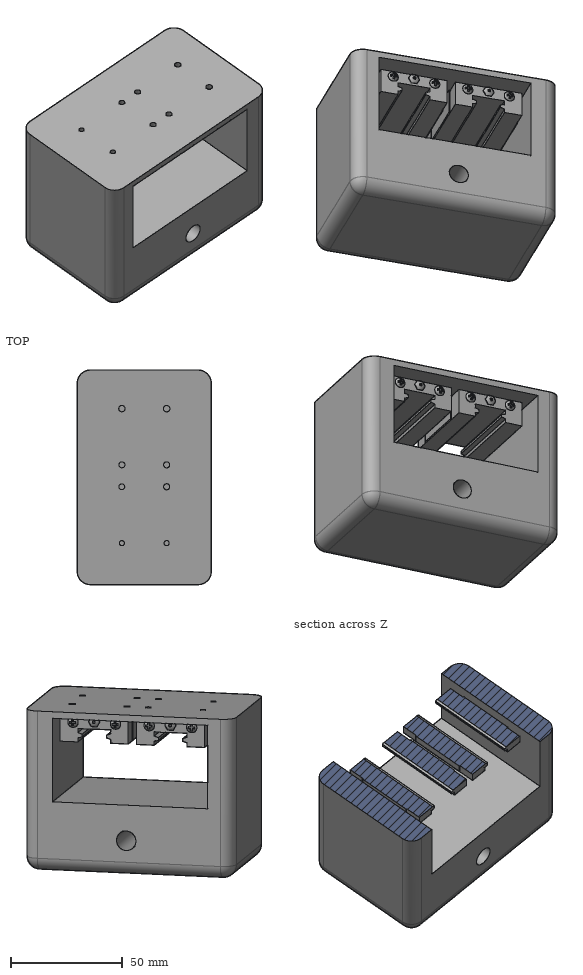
import cadquery as cq

LENGTH_X = 60.0
LENGTH_Y = 96.0
HEIGHT = 73.0
CORNER_RADIUS = 6.0

ROOF_THICKNESS = 3.0
WINDOW_HEIGHT = 38.0
WINDOW_Y_MIN = -36.2
WINDOW_Y_MAX = 35.0
ROOF_Z = HEIGHT - ROOF_THICKNESS

CABLE_HOLE_DIAMETER = 8.87
CABLE_HOLE_Y = 1.2
CABLE_HOLE_Z = 15.8

CARRIAGE_Y_POSITIONS = (18.0, -17.0)
CARRIAGE_LENGTH = 42.1
CARRIAGE_HEIGHT = 12.0
BLOCK_LENGTH = 26.7
BLOCK_WIDTH = 32.0
CAP_INSET = 0.4
BLOCK_CHAMFER = 0.4
CAP_WIDTH = BLOCK_WIDTH - 2 * CAP_INSET
CAP_TOP_GAP = 0.4
CARRIAGE_BOTTOM_Z = ROOF_Z - CARRIAGE_HEIGHT

CHANNEL_HALF_WIDTH = 7.5
CHANNEL_DEPTH = 6.1
RIDGE_REACH = 1.9
RIDGE_BASE_HEIGHT = 2.5
RIDGE_TIP_HEIGHT = 1.2
RIDGE_CENTER_HEIGHT = 3.0

SCREW_HEAD_DIAMETER = 4.75
SCREW_HEAD_HEIGHT = 1.4
SCREW_OFFSET_Y = 9.75
SCREW_Z = ROOF_Z - 3.1
RECESS_LENGTH = 2.8
RECESS_WIDTH = 0.8
RECESS_DEPTH = 0.8

NIPPLE_ACROSS_CORNERS = 5.2
NIPPLE_Z = ROOF_Z - 2.5
NIPPLE_HEIGHT = 1.1
NIPPLE_BORE_DIAMETER = 1.2
NIPPLE_BORE_DEPTH = 0.8

ROOF_HOLE_X = 10.0
ROOF_HOLE_ROWS = (
    (30.7, 2.83, 2.88),
    (5.6, 2.67, 2.72),
    (-4.2, 2.58, 2.72),
    (-29.4, 2.26, 2.29),
)


def make_housing():
    body = cq.Workplane("XY").box(LENGTH_X, LENGTH_Y, HEIGHT, centered=(True, True, False))
    body = body.edges("|Z").fillet(CORNER_RADIUS).faces("<Z").edges().fillet(CORNER_RADIUS)
    window = cq.Workplane("XY").box(LENGTH_X, WINDOW_Y_MAX - WINDOW_Y_MIN, WINDOW_HEIGHT)
    window = window.translate((0, (WINDOW_Y_MAX + WINDOW_Y_MIN) / 2, ROOF_Z - WINDOW_HEIGHT / 2))
    cable_hole = (
        cq.Workplane("YZ")
        .center(CABLE_HOLE_Y, CABLE_HOLE_Z)
        .circle(CABLE_HOLE_DIAMETER / 2)
        .extrude(LENGTH_X / 2, both=True)
    )
    return body.cut(window).cut(cable_hole)


def make_channel():
    """Solid to remove for the rail channel along the whole carriage."""
    ridge_y = CHANNEL_HALF_WIDTH - RIDGE_REACH
    ridge_z = CARRIAGE_BOTTOM_Z + RIDGE_CENTER_HEIGHT
    half_profile = [
        (CHANNEL_HALF_WIDTH, CARRIAGE_BOTTOM_Z),
        (CHANNEL_HALF_WIDTH, ridge_z - RIDGE_BASE_HEIGHT / 2),
        (ridge_y, ridge_z - RIDGE_TIP_HEIGHT / 2),
        (ridge_y, ridge_z + RIDGE_TIP_HEIGHT / 2),
        (CHANNEL_HALF_WIDTH, ridge_z + RIDGE_BASE_HEIGHT / 2),
        (CHANNEL_HALF_WIDTH, CARRIAGE_BOTTOM_Z + CHANNEL_DEPTH),
    ]
    mirrored = [(-y, z) for y, z in reversed(half_profile)]
    profile = cq.Workplane("YZ").polyline(half_profile + mirrored).close()
    return profile.extrude(CARRIAGE_LENGTH / 2, both=True)


def end_plane(y, z):
    """Plane on the -X end cap, facing outward, with its local y pointing up."""
    return cq.Plane(origin=(-CARRIAGE_LENGTH / 2, y, z), xDir=(0, -1, 0), normal=(-1, 0, 0))


def make_dome(plane, diameter, height):
    """Spherical cap standing on a plane, with the given base diameter."""
    radius = diameter / 2
    sphere_radius = (radius**2 + height**2) / (2 * height)
    sphere = cq.Workplane(plane).workplane(offset=height - sphere_radius).sphere(sphere_radius)
    return cq.Workplane(plane).circle(radius).extrude(height).intersect(sphere)


def make_screw_head(y):
    """Domed head on the end cap with a cross recess."""
    plane = end_plane(y, SCREW_Z)
    recess_plane = cq.Workplane(plane).workplane(offset=SCREW_HEAD_HEIGHT - RECESS_DEPTH)
    slot = recess_plane.rect(RECESS_LENGTH, RECESS_WIDTH).extrude(RECESS_DEPTH)
    cross_slot = recess_plane.rect(RECESS_WIDTH, RECESS_LENGTH).extrude(RECESS_DEPTH)
    return make_dome(plane, SCREW_HEAD_DIAMETER, SCREW_HEAD_HEIGHT).cut(slot).cut(cross_slot)


def make_nipple():
    """Hexagon with a domed end that meets the end cap at its corners."""
    plane = end_plane(0, NIPPLE_Z)
    hexagon = cq.Workplane(plane).polygon(6, NIPPLE_ACROSS_CORNERS).extrude(NIPPLE_HEIGHT)
    bore_plane = cq.Workplane(plane).workplane(offset=NIPPLE_HEIGHT - NIPPLE_BORE_DEPTH)
    bore = bore_plane.circle(NIPPLE_BORE_DIAMETER / 2).extrude(NIPPLE_BORE_DEPTH)
    return make_dome(plane, NIPPLE_ACROSS_CORNERS, NIPPLE_HEIGHT).intersect(hexagon).cut(bore)


def make_carriage():
    """Carriage centred on Y = 0, already at its height under the roof."""
    block = cq.Workplane("XY").box(BLOCK_LENGTH, BLOCK_WIDTH, CARRIAGE_HEIGHT, centered=(True, True, False))
    block = block.faces("<Z").edges("|X").chamfer(BLOCK_CHAMFER)
    caps = cq.Workplane("XY").box(
        CARRIAGE_LENGTH, CAP_WIDTH, CARRIAGE_HEIGHT - CAP_TOP_GAP, centered=(True, True, False)
    )
    carriage = block.union(caps).translate((0, 0, CARRIAGE_BOTTOM_Z)).cut(make_channel())
    fittings = make_nipple()
    for side in (-1, 1):
        fittings = fittings.union(make_screw_head(side * SCREW_OFFSET_Y))
    return carriage.union(fittings).union(fittings.mirror("YZ"))


def make_roof_holes():
    holes = cq.Workplane("XY")
    for y, near_diameter, far_diameter in ROOF_HOLE_ROWS:
        for x, diameter in ((-ROOF_HOLE_X, near_diameter), (ROOF_HOLE_X, far_diameter)):
            hole_plane = cq.Workplane("XY", origin=(x, y, ROOF_Z))
            holes = holes.add(hole_plane.circle(diameter / 2).extrude(ROOF_THICKNESS))
    return holes.combine()


part = make_housing()
carriage = make_carriage()
for carriage_y in CARRIAGE_Y_POSITIONS:
    part = part.union(carriage.translate((0, carriage_y, 0)))
result = part.cut(make_roof_holes())